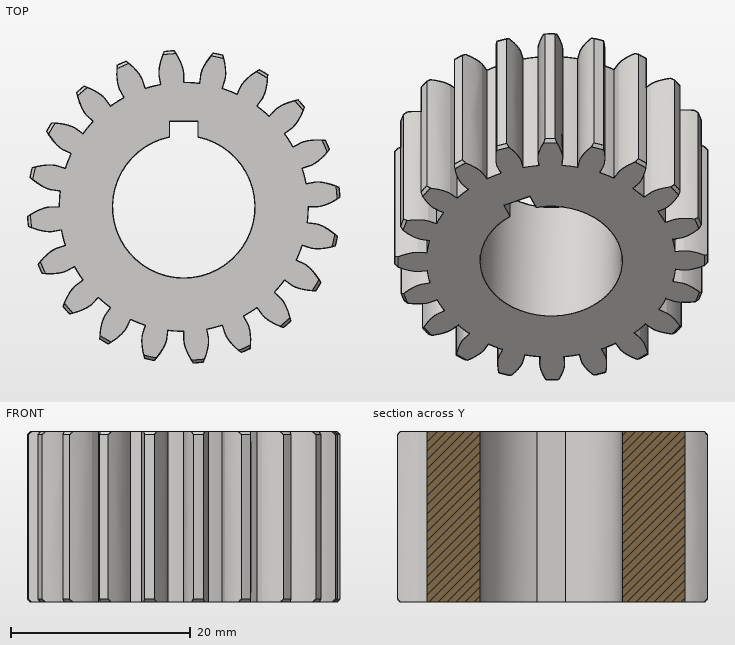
import cadquery as cq
import math

overall_width = 34.85
face_width = 19.05
tooth_count = 20
pressure_angle = math.radians(20)
dedendum_factor = 1.25
tip_chamfer = 0.35
bore_diameter = 15.85
keyway_width = 3.17
keyway_top = 9.5
flank_samples = 7


def involute(angle):
    """Involute function: polar angle swept by the curve at a given pressure angle."""
    return math.tan(angle) - angle


tooth_pitch = 2 * math.pi / tooth_count
base_half_angle = tooth_pitch / 4 + involute(pressure_angle)
tip_to_pitch = (tooth_count + 2) / tooth_count
tip_pressure_angle = math.acos(math.cos(pressure_angle) / tip_to_pitch)
tip_corner_angle = involute(tip_pressure_angle)

tip_radius = overall_width / 2 / math.cos(tip_corner_angle)
module = 2 * tip_radius / (tooth_count + 2)
pitch_radius = module * tooth_count / 2
base_radius = pitch_radius * math.cos(pressure_angle)
root_radius = pitch_radius - dedendum_factor * module


def polar(radius, angle):
    return (radius * math.cos(angle), radius * math.sin(angle))


def flank_points(center_angle, side):
    """Involute flank from base circle to tip; side is -1 for the right flank, +1 for the left."""
    points = []
    for step in range(flank_samples):
        radius = base_radius + (tip_radius - base_radius) * step / (flank_samples - 1)
        half_angle = base_half_angle - involute(math.acos(min(1.0, base_radius / radius)))
        points.append(polar(radius, center_angle + side * half_angle))
    return points


def gear_outline():
    """Closed outline: radial root walls, involute flanks, arcs at tips and roots."""
    outline = cq.Workplane("XY").moveTo(root_radius, 0)
    for tooth in range(tooth_count):
        start_angle = tooth * tooth_pitch
        center_angle = start_angle + base_half_angle
        end_angle = center_angle + base_half_angle
        next_angle = start_angle + tooth_pitch
        right_flank = flank_points(center_angle, -1)
        left_flank = flank_points(center_angle, 1)[::-1]

        outline = outline.lineTo(*right_flank[0])
        outline = outline.spline(right_flank[1:], includeCurrent=True)
        outline = outline.threePointArc(polar(tip_radius, center_angle), left_flank[0])
        outline = outline.spline(left_flank[1:], includeCurrent=True)
        outline = outline.lineTo(*polar(root_radius, end_angle))
        root_middle = polar(root_radius, (end_angle + next_angle) / 2)
        outline = outline.threePointArc(root_middle, polar(root_radius, next_angle))
    return outline.close()


def chamfered_blank():
    """Turned blank whose conical edges bevel both ends of every tooth tip."""
    return cq.Workplane("XY").circle(tip_radius).extrude(face_width).edges().chamfer(tip_chamfer)


def keyed_bore():
    """Through bore with a rectangular keyway on the +Y side."""
    bore = cq.Workplane("XY").circle(bore_diameter / 2).extrude(face_width)
    keyway = (
        cq.Workplane("XY")
        .center(0, keyway_top / 2)
        .rect(keyway_width, keyway_top)
        .extrude(face_width)
    )
    return bore.union(keyway)


toothed_body = gear_outline().extrude(face_width)
result = toothed_body.intersect(chamfered_blank()).cut(keyed_bore())